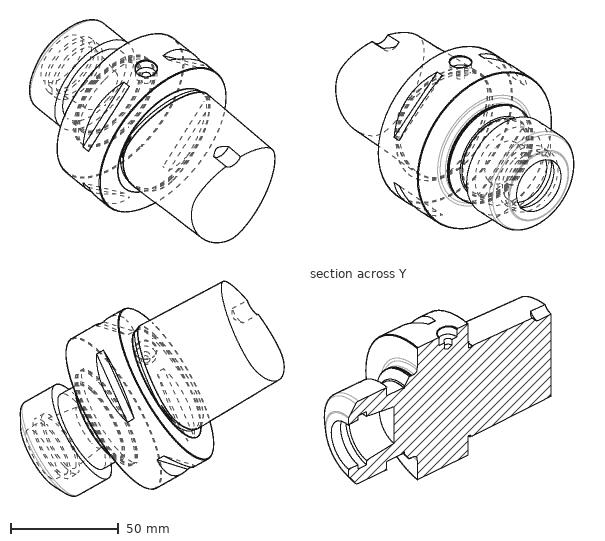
import cadquery as cq
import math

nut_end = 22.4
neck_end = 32.2
neck_undercut_end = 32.7
collar_start = 35.4
collar_groove_start = 36.2
collar_groove_end = 36.8
collar_end = 38.1
flange_start = 40.0
flange_end = 69.7
boss_end = 70.1
clip_end = 70.9
shank_start = 72.0
total_length = 118.0

nut_radius = 50.0 / 2
nut_face_radius = 17.7
nut_cone_length = 4.7
nut_nose_round = 1.1
nut_shoulder_round = 1.9
neck_radius = 40.0 / 2
neck_undercut_radius = 38.5 / 2
collar_cone_radius = 20.6
collar_radius = 50.0 / 2
collar_groove_radius = 49.8 / 2
flange_radius = 80.0 / 2
flange_chamfer = 0.4
flange_ledge_depth = 0.1
flange_ledge_radius = 28.2
boss_radius = 28.7
clip_radius = 28.4

shank_mean_radius = 27.5
lobe_height = 2.1
taper = 1 / 40
relief_depth = 0.4
outline_steps = 36
lobe_direction = math.radians(-90)

bore_mouth_radius = 26.4 / 2
bore_lip_radius = 13.6
bore_groove_start = 5.7
bore_groove_end = 10.5
bore_groove_radius = 15.9
bore_floor_radius = 22.0 / 2
bore_taper_angle = math.radians(8)
bore_depth = bore_groove_end + (bore_mouth_radius - bore_floor_radius) / math.tan(bore_taper_angle)

feature_x = 58.0
slot_floor_width = 3.8
slot_top_width = 8.8
slot_floor_height = 35.6
slot_angles = (45, 135, 225, 315)
pocket_diameter = 10.0
pocket_chamfer = 0.3
pocket_floor_height = 35.0
pilot_diameter = 4.0
pilot_depth = 3.5
pilot_tip_depth = 1.2

notch_radius = 5.3
notch_axis_height = 26.7
notch_start = 109.6
notch_tip_length = 4.5


def revolve_about_x(profile):
    return profile.close().revolve(360, (0, 0, 0), (1, 0, 0))


def make_nut():
    nut = revolve_about_x(
        cq.Workplane("XY")
        .lineTo(0, nut_face_radius)
        .lineTo(nut_cone_length, nut_radius)
        .lineTo(nut_end, nut_radius)
        .lineTo(nut_end, 0)
    )
    shoulder = nut.edges(cq.NearestToPointSelector((nut_cone_length, 0, 0)))
    nut = shoulder.fillet(nut_shoulder_round)
    return nut.faces("<X").edges().fillet(nut_nose_round)


def make_turned_body():
    """Neck with its undercut, grooved collar, flange and the low boss behind the flange."""
    fillet_radius = flange_start - flange_ledge_depth - collar_end
    fillet_end = (collar_end + fillet_radius, collar_radius + fillet_radius)
    fillet_middle = (
        collar_end + fillet_radius * math.sin(math.pi / 4),
        collar_radius + fillet_radius * (1 - math.cos(math.pi / 4)),
    )
    return revolve_about_x(
        cq.Workplane("XY")
        .moveTo(nut_end, 0)
        .lineTo(nut_end, neck_radius)
        .lineTo(neck_end, neck_radius)
        .lineTo(neck_end, neck_undercut_radius)
        .lineTo(neck_undercut_end, neck_undercut_radius)
        .lineTo(neck_undercut_end, collar_cone_radius)
        .lineTo(collar_start, collar_radius)
        .lineTo(collar_groove_start, collar_radius)
        .lineTo(collar_groove_start, collar_groove_radius)
        .lineTo(collar_groove_end, collar_groove_radius)
        .lineTo(collar_groove_end, collar_radius)
        .lineTo(collar_end, collar_radius)
        .threePointArc(fillet_middle, fillet_end)
        .lineTo(flange_start, flange_ledge_radius)
        .lineTo(flange_start, flange_radius - flange_chamfer)
        .lineTo(flange_start + flange_chamfer, flange_radius)
        .lineTo(flange_end - flange_chamfer, flange_radius)
        .lineTo(flange_end, flange_radius - flange_chamfer)
        .lineTo(flange_end, boss_radius)
        .lineTo(boss_end, boss_radius)
        .lineTo(boss_end, 0)
    )


def lobed_point(mean_radius, turn):
    """Point on a constant-width curve with support height r + e*cos(3t)."""
    angle = 2 * math.pi * turn
    height = mean_radius + lobe_height * math.cos(3 * angle)
    slope = -3 * lobe_height * math.sin(3 * angle)
    direction = angle + lobe_direction
    return (
        height * math.cos(direction) - slope * math.sin(direction),
        height * math.sin(direction) + slope * math.cos(direction),
    )


def lobed_outline(plane, mean_radius):
    points = [lobed_point(mean_radius, step / outline_steps) for step in range(outline_steps)]
    return plane.spline(points, periodic=True).wire()


def make_shank():
    length = total_length - shank_start
    start = lobed_outline(cq.Workplane("YZ", origin=(shank_start, 0, 0)), shank_mean_radius)
    end_plane = cq.Workplane("YZ", origin=(total_length, 0, 0))
    end = lobed_outline(end_plane, shank_mean_radius - taper * length)
    return cq.Workplane(cq.Solid.makeLoft([start.val(), end.val()], True))


def make_relief():
    """Undersize lobed neck whose lobes are turned down next to the flange."""
    plane = cq.Workplane("YZ", origin=(boss_end, 0, 0))
    relief = lobed_outline(plane, shank_mean_radius - relief_depth).extrude(shank_start - boss_end)
    clip_length = clip_end - boss_end
    outer_ring = plane.circle(flange_radius).circle(clip_radius).extrude(clip_length)
    return relief.cut(outer_ring)


def make_bore():
    return revolve_about_x(
        cq.Workplane("XY")
        .lineTo(0, bore_mouth_radius)
        .lineTo(bore_groove_start, bore_lip_radius)
        .lineTo(bore_groove_start, bore_groove_radius)
        .lineTo(bore_groove_end, bore_groove_radius)
        .lineTo(bore_groove_end, bore_mouth_radius)
        .lineTo(bore_depth, bore_floor_radius)
        .lineTo(bore_depth, 0)
    )


def make_slot(angle):
    """Straight trapezoidal groove across the flange rim, turned about X."""
    slot = (
        cq.Workplane("XZ")
        .moveTo(feature_x - slot_floor_width / 2, slot_floor_height)
        .lineTo(feature_x + slot_floor_width / 2, slot_floor_height)
        .lineTo(feature_x + slot_top_width / 2, flange_radius)
        .lineTo(feature_x - slot_top_width / 2, flange_radius)
        .close()
        .extrude(flange_radius, both=True)
    )
    return slot.rotate((0, 0, 0), (1, 0, 0), angle)


def make_pocket():
    """Chamfered round pocket with a pointed pilot hole in its floor."""
    pilot_radius = pilot_diameter / 2
    pocket_radius = pocket_diameter / 2
    pilot_floor = pocket_floor_height - pilot_depth
    profile = (
        cq.Workplane("XZ")
        .moveTo(0, pilot_floor - pilot_tip_depth)
        .lineTo(pilot_radius, pilot_floor)
        .lineTo(pilot_radius, pocket_floor_height)
        .lineTo(pocket_radius, pocket_floor_height)
        .lineTo(pocket_radius, flange_radius - 2 * pocket_chamfer)
        .lineTo(pocket_radius + pocket_chamfer, flange_radius - pocket_chamfer)
        .lineTo(pocket_radius + pocket_chamfer, flange_radius)
        .lineTo(0, flange_radius)
        .close()
    )
    return profile.revolve(360, (0, 0, 0), (0, 1, 0)).translate((feature_x, 0, 0))


def make_notch():
    """Drill-shaped cut, open at the shank end."""
    notch = revolve_about_x(
        cq.Workplane("XY")
        .moveTo(notch_start - notch_tip_length, 0)
        .lineTo(notch_start, notch_radius)
        .lineTo(total_length, notch_radius)
        .lineTo(total_length, 0)
    )
    return notch.translate((0, 0, notch_axis_height))


result = make_turned_body().union(make_nut()).union(make_relief()).union(make_shank())
result = result.cut(make_bore()).cut(make_pocket()).cut(make_notch())
for slot_angle in slot_angles:
    result = result.cut(make_slot(slot_angle))